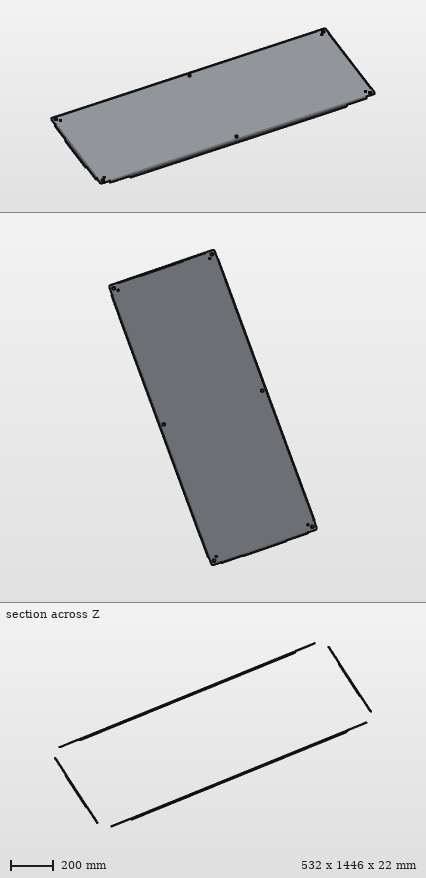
import cadquery as cq
import math

length = 1446.0
width = 532.0
height = 22.0
thickness = 3.0
bend_radius = 6.0

plate_width = 526.0
plate_length = 1443.0
corner_radius = 9.0

flange_depth = 12.0
tab_slant = 7.0
side_flange_length = 1348.0
side_tab_length = 1132.0
end_flange_length = 434.0
end_tab_length = 210.0

mount_diameter = 12.7
mount_pitch_x = 490.0
mount_pitch_y = 1404.0
pilot_diameter = 7.1
pilot_pitch_x = 457.0
pilot_pitch_y = 1372.0


def make_plate():
    """Flat sheet, notched along each folded edge so that the bend starts inside the outline."""
    plate = (
        cq.Workplane("XY")
        .workplane(offset=height - thickness)
        .rect(plate_width, plate_length)
        .extrude(thickness)
        .edges("|Z")
        .fillet(corner_radius)
    )
    side_notches = (
        cq.Workplane("XY")
        .pushPoints([(-width / 2, 0), (width / 2, 0)])
        .rect(2 * bend_radius, side_flange_length)
        .extrude(height)
    )
    end_notches = (
        cq.Workplane("XY")
        .pushPoints([(0, -length / 2), (0, length / 2)])
        .rect(end_flange_length, 2 * bend_radius)
        .extrude(height)
    )
    return plate.cut(side_notches).cut(end_notches)


def make_flange(outer_face, flange_length, tab_length):
    """Folded edge along Y with its outer face at X = outer_face."""
    bend_x = outer_face - bend_radius
    bend_z = height - bend_radius
    inner_radius = bend_radius - thickness
    diagonal = math.sqrt(0.5)
    folded_strip = (
        cq.Workplane("XZ")
        .moveTo(bend_x, height)
        .threePointArc(
            (bend_x + bend_radius * diagonal, bend_z + bend_radius * diagonal),
            (outer_face, bend_z),
        )
        .lineTo(outer_face, 0)
        .lineTo(outer_face - thickness, 0)
        .lineTo(outer_face - thickness, bend_z)
        .threePointArc(
            (bend_x + inner_radius * diagonal, bend_z + inner_radius * diagonal),
            (bend_x, height - thickness),
        )
        .close()
        .extrude(flange_length / 2, both=True)
    )
    shoulder_z = height - flange_depth
    half_flange = flange_length / 2
    half_tab = tab_length / 2
    face_outline = (
        cq.Workplane("YZ")
        .polyline(
            [
                (-half_flange, height),
                (-half_flange, shoulder_z),
                (-half_tab - tab_slant, shoulder_z),
                (-half_tab, 0),
                (half_tab, 0),
                (half_tab + tab_slant, shoulder_z),
                (half_flange, shoulder_z),
                (half_flange, height),
            ]
        )
        .close()
        .extrude(outer_face)
    )
    return folded_strip.intersect(face_outline)


def make_holes():
    """Mounting holes at the corners and mid-sides, and a pilot hole inside each corner."""
    mount_points = [
        (side * mount_pitch_x / 2, row * mount_pitch_y / 2) for side in (-1, 1) for row in (-1, 0, 1)
    ]
    pilot_points = [
        (side * pilot_pitch_x / 2, row * pilot_pitch_y / 2) for side in (-1, 1) for row in (-1, 1)
    ]
    mounts = cq.Workplane("XY").pushPoints(mount_points).circle(mount_diameter / 2).extrude(height)
    pilots = cq.Workplane("XY").pushPoints(pilot_points).circle(pilot_diameter / 2).extrude(height)
    return mounts.union(pilots)


side_flange = make_flange(width / 2, side_flange_length, side_tab_length)
end_flange = make_flange(length / 2, end_flange_length, end_tab_length)

result = make_plate()
for flange, turns in ((side_flange, (0, 180)), (end_flange, (90, 270))):
    for turn in turns:
        result = result.union(flange.rotate((0, 0, 0), (0, 0, 1), turn))
result = result.cut(make_holes())